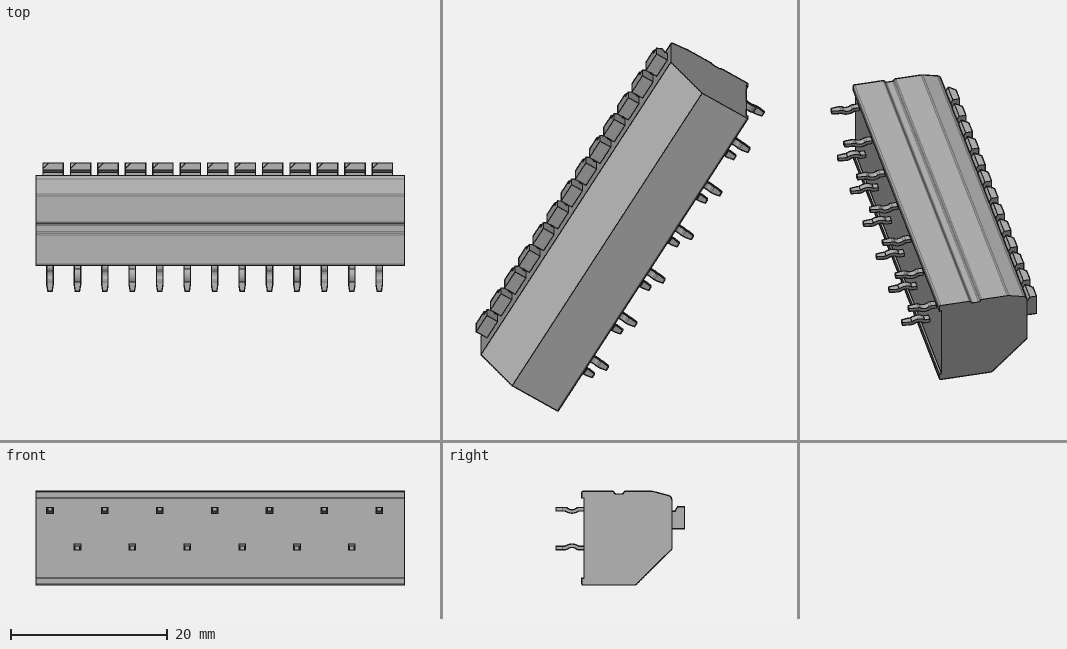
import cadquery as cq
import math

LENGTH = 47.0
DEPTH = 11.5
HEIGHT = 12.0
FOOT_DEPTH = 0.3
FOOT_HEIGHT = 0.9
FOOT_EDGE_RADIUS = 0.2
UNDERSIDE_DEPTH = 6.85
REAR_BOTTOM = 4.6
TOP_FLAT_DEPTH = 9.02
REAR_TOP = 11.35
REAR_TOP_RADIUS = 0.65
TOP_BREAK_RADIUS = 0.95

GROOVE_CENTER = 4.75
GROOVE_TOP_WIDTH = 1.4
GROOVE_FLOOR_WIDTH = 1.05
GROOVE_DEPTH = 0.35
GROOVE_RADIUS = 0.2

POLES = 13
END_MARGIN = 1.5
PITCH = (LENGTH - END_MARGIN) / POLES
FIRST_PIN_X = 1.8

PIN_WIDTH = 0.85
PIN_THICKNESS = 0.45
PIN_LENGTH = 3.3
PIN_TIP_WIDTH = 0.55
PIN_TIP_LENGTH = 0.85
UPPER_PIN_Z = 9.7
LOWER_PIN_Z = 4.75
BEND_CENTER = -1.245
BEND_HALF_LENGTH = 0.85
BEND_SAG = 0.3

BUTTON_WIDTH = 2.65
BUTTON_OFFSET = 0.4
BUTTON_REACH = 1.6
BUTTON_BOTTOM = 7.2
BUTTON_TOP = 10.0
BUTTON_NECK_TOP = 9.45
BUTTON_NECK_REACH = 0.38
BUTTON_HEAD_START = 0.7
NOTCH_WIDTH = 0.75
NOTCH_DEPTH = 0.85
EMBED = 0.25


def nearest_edge(y, z):
    """Selects the lengthwise edge that runs through y, z."""
    return cq.selectors.NearestToPointSelector((LENGTH / 2, y, z))


def make_housing():
    body = (
        cq.Workplane("YZ")
        .moveTo(0, 0)
        .lineTo(UNDERSIDE_DEPTH, 0)
        .lineTo(DEPTH, REAR_BOTTOM)
        .lineTo(DEPTH, REAR_TOP)
        .lineTo(TOP_FLAT_DEPTH, HEIGHT)
        .lineTo(GROOVE_CENTER + GROOVE_TOP_WIDTH / 2, HEIGHT)
        .lineTo(GROOVE_CENTER + GROOVE_FLOOR_WIDTH / 2, HEIGHT - GROOVE_DEPTH)
        .lineTo(GROOVE_CENTER - GROOVE_FLOOR_WIDTH / 2, HEIGHT - GROOVE_DEPTH)
        .lineTo(GROOVE_CENTER - GROOVE_TOP_WIDTH / 2, HEIGHT)
        .lineTo(0, HEIGHT)
        .lineTo(0, HEIGHT - FOOT_HEIGHT)
        .lineTo(FOOT_DEPTH, HEIGHT - FOOT_HEIGHT)
        .lineTo(FOOT_DEPTH, FOOT_HEIGHT)
        .lineTo(0, FOOT_HEIGHT)
        .close()
        .extrude(LENGTH)
    )
    body = body.edges(nearest_edge(DEPTH, REAR_TOP)).fillet(REAR_TOP_RADIUS)
    body = body.edges(nearest_edge(TOP_FLAT_DEPTH, HEIGHT)).fillet(TOP_BREAK_RADIUS)
    for side in (-1, 1):
        rim = nearest_edge(GROOVE_CENTER + side * GROOVE_TOP_WIDTH / 2, HEIGHT)
        body = body.edges(rim).fillet(GROOVE_RADIUS)
        floor = nearest_edge(GROOVE_CENTER + side * GROOVE_FLOOR_WIDTH / 2, HEIGHT - GROOVE_DEPTH)
        body = body.edges(floor).fillet(GROOVE_RADIUS)
    for z in (0, HEIGHT):
        body = body.edges(nearest_edge(0, z)).fillet(FOOT_EDGE_RADIUS)
    return body


def make_pin(x, z, bend_direction):
    """A pin centred on x, z whose bend bows up (+1) or down (-1).

    The bulging side of the bend is a single arc. The hollow side runs parallel to it, one
    thickness away, so it starts and ends with a flare swung around each end of that arc.
    """
    inner = z - bend_direction * PIN_THICKNESS / 2
    outer = z + bend_direction * PIN_THICKNESS / 2
    bow = bend_direction * BEND_SAG
    outer_radius = (BEND_HALF_LENGTH**2 + BEND_SAG**2) / (2 * BEND_SAG)
    bend_angle = math.asin(BEND_HALF_LENGTH / outer_radius)

    def flare_point(side, angle):
        y = BEND_CENTER + side * (BEND_HALF_LENGTH - PIN_THICKNESS * math.sin(angle))
        return (y, outer - bend_direction * PIN_THICKNESS * math.cos(angle))

    root = FOOT_DEPTH + EMBED
    strip = (
        cq.Workplane("YZ", origin=(x, 0, 0))
        .moveTo(root, inner)
        .lineTo(*flare_point(1, 0))
        .threePointArc(flare_point(1, bend_angle / 2), flare_point(1, bend_angle))
        .threePointArc((BEND_CENTER, inner + bow), flare_point(-1, bend_angle))
        .threePointArc(flare_point(-1, bend_angle / 2), flare_point(-1, 0))
        .lineTo(-PIN_LENGTH, inner)
        .lineTo(-PIN_LENGTH, outer)
        .lineTo(BEND_CENTER - BEND_HALF_LENGTH, outer)
        .threePointArc((BEND_CENTER, outer + bow), (BEND_CENTER + BEND_HALF_LENGTH, outer))
        .lineTo(root, outer)
        .close()
        .extrude(PIN_WIDTH / 2, both=True)
    )
    plan = (
        cq.Workplane("XY", origin=(x, 0, 0))
        .moveTo(-PIN_WIDTH / 2, root)
        .lineTo(-PIN_WIDTH / 2, PIN_TIP_LENGTH - PIN_LENGTH)
        .lineTo(-PIN_TIP_WIDTH / 2, -PIN_LENGTH)
        .lineTo(PIN_TIP_WIDTH / 2, -PIN_LENGTH)
        .lineTo(PIN_WIDTH / 2, PIN_TIP_LENGTH - PIN_LENGTH)
        .lineTo(PIN_WIDTH / 2, root)
        .close()
        .extrude(HEIGHT)
    )
    return strip.intersect(plan)


def make_button(x):
    """A button centred on x, with a ramped notch in its upper rear corner on the -X side."""
    rear = DEPTH + BUTTON_REACH
    left = x - BUTTON_WIDTH / 2
    button = (
        cq.Workplane("YZ", origin=(left, 0, 0))
        .moveTo(DEPTH - EMBED, BUTTON_BOTTOM)
        .lineTo(rear, BUTTON_BOTTOM)
        .lineTo(rear, BUTTON_TOP)
        .lineTo(DEPTH + BUTTON_HEAD_START, BUTTON_TOP)
        .lineTo(DEPTH + BUTTON_NECK_REACH, BUTTON_NECK_TOP)
        .lineTo(DEPTH - EMBED, BUTTON_NECK_TOP)
        .close()
        .extrude(BUTTON_WIDTH)
    )
    notch_plan = (
        cq.Workplane("XY", origin=(left, rear, 0))
        .polyline([(0, 0), (NOTCH_WIDTH, 0), (0, -NOTCH_WIDTH)])
        .close()
        .extrude(HEIGHT)
    )
    above_ramp = (
        cq.Workplane("YZ", origin=(left, rear, BUTTON_TOP))
        .polyline([(0, 0), (0, -NOTCH_DEPTH), (-NOTCH_WIDTH, 0)])
        .close()
        .extrude(BUTTON_WIDTH)
    )
    return button.cut(notch_plan.intersect(above_ramp))


result = make_housing()
for pole in range(POLES):
    pin_x = FIRST_PIN_X + pole * PITCH
    if pole % 2 == 0:
        pin = make_pin(pin_x, UPPER_PIN_Z, -1)
    else:
        pin = make_pin(pin_x, LOWER_PIN_Z, 1)
    result = result.union(pin).union(make_button(pin_x + BUTTON_OFFSET))